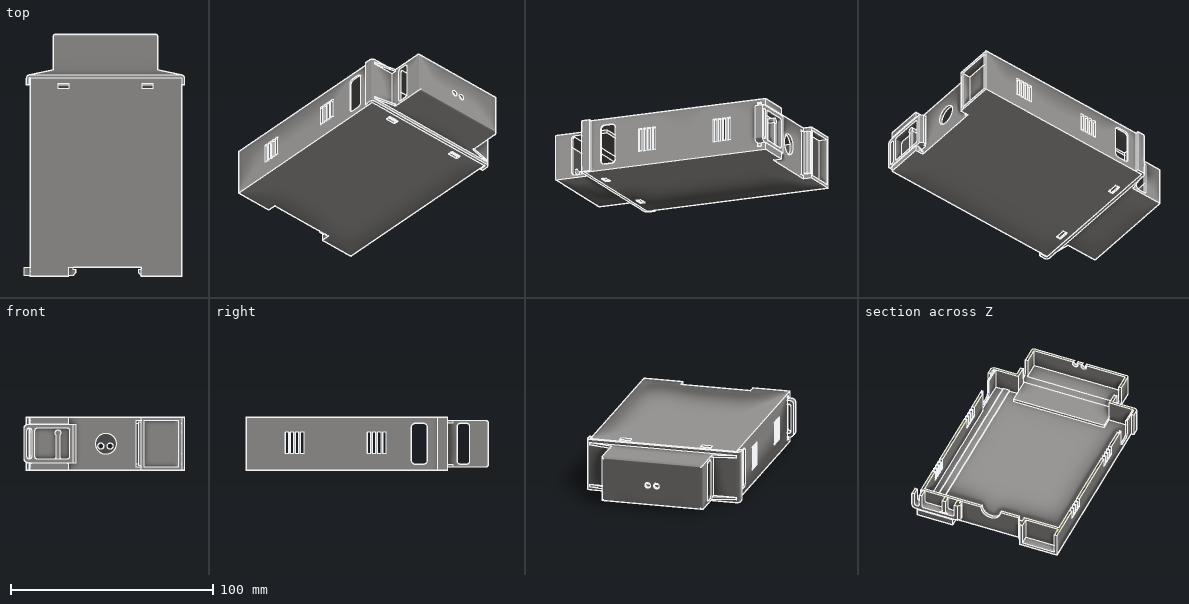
import cadquery as cq

WIDTH = 75.0
HEIGHT = 26.2
MID_Z = HEIGHT / 2
HALF_WIDTH = WIDTH / 2
WALL = 1.5
HOUSING_TOP_Y = 98.1
NOTCH_DEPTH = 4.4
LEFT_FOOT_X = -18.5
RIGHT_FOOT_X = 17.4
CABLE_HOLE_RADIUS = 5.2

WINDOW_Y = 85.7
WINDOW_WIDTH = 7.8
WINDOW_HEIGHT = 20.1
WINDOW_RADIUS = 1.9
THIN_WALL = 0.8
THIN_WALL_BOTTOM_Y = 80.3
VENT_GROUP_Y = (64.6, 24.0)
VENT_COUNT = 4
VENT_PITCH = 2.5
VENT_WIDTH = 1.5
VENT_HEIGHT = 11.5
FAR_VENT_SILL = 1.0

RAIL_X = -31.0
RAIL_WIDTH = 3.5
RAIL_HEIGHT = 0.6

HOOK_REACH = 1.3
HOOK_BOTTOM_Y = 0.5
HOOK_CHAMFER_Y = 1.9
HOOK_TOP_Y = 3.5
HOOK_HEIGHT = 21.6
HOOK_OPENING_WIDTH = 2.4
HOOK_OPENING_HEIGHT = 22.8

COVER_X = -0.2
PLATE_WIDTH = 78.3
PLATE_THICKNESS = 1.5
PLATE_TOP_Y = HOUSING_TOP_Y + PLATE_THICKNESS
PLATE_RADIUS = 1.8
LIP_THICKNESS = 1.4
LIP_BOTTOM_Y = 94.6
BLOCK_WIDTH = 51.8
BLOCK_HEIGHT = 23.0
BLOCK_TOP_Y = 119.8
BLOCK_FILLET = 1.2
GUSSET_TOP_Y = 102.2
GUSSET_END_INSET = 1.4
GUSSET_THICKNESS = 1.2
BLOCK_SLOT_Y = 107.5
BLOCK_SLOT_WIDTH = 6.0
BLOCK_SLOT_RADIUS = 1.4
LED_SPACING = 4.5
LED_RADIUS = 1.4
LED_Z = 12.0
TONGUE_BOTTOM_Y = 92.0

SNAP_SPACING = 41.6
SNAP_WIDTH = 5.4
SNAP_TOP_Y = 95.5
SNAP_CREST_Y = 94.8
SNAP_BOTTOM_Y = 93.0
SNAP_RECESS = 0.2

CLIP_LEFT_X = -40.6
CLIP_TIP_X = -14.9
CLIP_STEP_X = -16.2
CLIP_BOTTOM_Y = 0.4
CLIP_BOTTOM_Z = 3.7
CLIP_TOP_Z = 22.8
CLIP_MID_Z = (CLIP_BOTTOM_Z + CLIP_TOP_Z) / 2
CLIP_HEIGHT = CLIP_TOP_Z - CLIP_BOTTOM_Z
CLIP_RADIUS = 2.0
CLIP_CLEARANCE = 0.1
WING_BOTTOM_Y = 2.5
WING_CHANNEL_BOTTOM_Z = 2.0
WING_CHANNEL_TOP_Z = 24.5
WING_GAP = 0.4
WING_END_INSET = 0.6
CLIP_OPENING_BOTTOM_Z = 5.6
CLIP_OPENING_TOP_Z = 20.8
CLIP_OPENING_RADIUS = 1.2
GRIP_LEFT_X = -39.2
GRIP_RIGHT_X = -36.7
POCKET_LEFT_X = -35.2
POCKET_RIGHT_X = -18.0
SPRING_X = -23.7
SPRING_WIDTH = 1.9
SPRING_HEAD_RADIUS = 1.4
SPRING_TOP_Z = 19.9
SPRING_FRONT_Y = 1.1
SPRING_ROOT_RADIUS = 1.0


def box(x0, x1, y0, y1, z0, z1):
    """Box between the given coordinate limits."""
    return cq.Workplane("XY").box(x1 - x0, y1 - y0, z1 - z0, centered=False).translate((x0, y0, z0))


def centered_prism(points, height, mid_z=MID_Z):
    """Polygon in XY extruded along Z, evenly about mid_z."""
    return cq.Workplane("XY").polyline(points).close().extrude(height / 2, both=True).translate((0, 0, mid_z))


def snap_centers():
    """X positions of the two snap hooks."""
    return [COVER_X + side * SNAP_SPACING / 2 for side in (-1, 1)]


def both_large_walls(top_feature):
    """A feature at the +Z wall together with its mirror image at the -Z wall."""
    return top_feature + top_feature.mirror("XY", (0, 0, MID_Z))


def housing_shell():
    """Hollow box, open at +Y, with the mounting-rail notch between the two feet."""
    outer = box(-HALF_WIDTH, HALF_WIDTH, 0, HOUSING_TOP_Y, 0, HEIGHT)
    notch = box(LEFT_FOOT_X, RIGHT_FOOT_X, 0, NOTCH_DEPTH, 0, HEIGHT)
    cavity = box(
        WALL - HALF_WIDTH, HALF_WIDTH - WALL, NOTCH_DEPTH + WALL, HOUSING_TOP_Y, WALL, HEIGHT - WALL
    )
    foot_pocket = box(RIGHT_FOOT_X + WALL, HALF_WIDTH - WALL, 0, NOTCH_DEPTH, WALL, HEIGHT - WALL)
    return outer - notch - cavity - foot_pocket


def side_windows():
    """Rounded terminal window cut through both side walls."""
    window = box(
        -HALF_WIDTH, HALF_WIDTH, WINDOW_Y - WINDOW_WIDTH / 2, WINDOW_Y + WINDOW_WIDTH / 2,
        MID_Z - WINDOW_HEIGHT / 2, MID_Z + WINDOW_HEIGHT / 2,
    )
    return window.edges("|X").fillet(WINDOW_RADIUS)


def window_reliefs():
    """Inner recesses that thin both side walls from the windows to the open end."""
    inner = HALF_WIDTH - THIN_WALL
    return box(-inner, inner, THIN_WALL_BOTTOM_Y, HOUSING_TOP_Y, WALL, HEIGHT - WALL)


def side_vents():
    """Two groups of ventilation slots in each side wall."""
    vents = cq.Workplane("XY")
    bottom = MID_Z - VENT_HEIGHT / 2
    top = MID_Z + VENT_HEIGHT / 2
    for group_y in VENT_GROUP_Y:
        for i in range(VENT_COUNT):
            y0 = group_y + (i - (VENT_COUNT - 1) / 2) * VENT_PITCH - VENT_WIDTH / 2
            y1 = y0 + VENT_WIDTH
            vents += box(-HALF_WIDTH, WALL - HALF_WIDTH, y0, y1, bottom, top)
            vents += box(HALF_WIDTH - WALL, HALF_WIDTH, y0, y1, bottom + FAR_VENT_SILL, top)
    return vents


def snap_windows():
    """Rectangular openings for the snap hooks in both large walls."""
    openings = cq.Workplane("XY")
    for x in snap_centers():
        openings += box(
            x - SNAP_WIDTH / 2, x + SNAP_WIDTH / 2, SNAP_BOTTOM_Y, SNAP_TOP_Y, HEIGHT - WALL, HEIGHT
        )
    return both_large_walls(openings)


def clip_channel():
    """T-shaped channel through the left foot."""
    body = box(
        -HALF_WIDTH, LEFT_FOOT_X, 0, NOTCH_DEPTH,
        CLIP_BOTTOM_Z - CLIP_CLEARANCE, CLIP_TOP_Z + CLIP_CLEARANCE,
    )
    wings = box(
        -HALF_WIDTH, LEFT_FOOT_X, WING_BOTTOM_Y, NOTCH_DEPTH,
        WING_CHANNEL_BOTTOM_Z, WING_CHANNEL_TOP_Z,
    )
    return body + wings


def cable_hole():
    """Round hole through the notch wall."""
    hole = cq.Workplane("XZ").center(0, MID_Z).circle(CABLE_HOLE_RADIUS).extrude(-WALL)
    return hole.translate((0, NOTCH_DEPTH, 0))


def hook_opening():
    """Tall opening in the notch wall, beside the right foot."""
    return box(
        RIGHT_FOOT_X - HOOK_OPENING_WIDTH, RIGHT_FOOT_X, NOTCH_DEPTH, NOTCH_DEPTH + WALL,
        MID_Z - HOOK_OPENING_HEIGHT / 2, MID_Z + HOOK_OPENING_HEIGHT / 2,
    )


def rail_hook():
    """Chamfered lip on the inner side of the right foot."""
    tip_x = RIGHT_FOOT_X - HOOK_REACH
    profile = [
        (RIGHT_FOOT_X, HOOK_BOTTOM_Y),
        (RIGHT_FOOT_X, HOOK_TOP_Y),
        (tip_x, HOOK_TOP_Y),
        (tip_x, HOOK_CHAMFER_Y),
    ]
    return centered_prism(profile, HOOK_HEIGHT)


def floor_rail():
    """Low rail along the housing floor."""
    return box(
        RAIL_X - RAIL_WIDTH / 2, RAIL_X + RAIL_WIDTH / 2, NOTCH_DEPTH + WALL, HOUSING_TOP_Y,
        WALL, WALL + RAIL_HEIGHT,
    )


def make_housing():
    shell = housing_shell() - window_reliefs() + floor_rail()
    shell = shell - side_windows() - side_vents() - snap_windows()
    shell = shell - clip_channel() - cable_hole() - hook_opening()
    return shell + rail_hook()


def cover_plate():
    """End plate with rounded corners and lips that reach down over the housing sides."""
    left = COVER_X - PLATE_WIDTH / 2
    right = COVER_X + PLATE_WIDTH / 2
    plate = box(left, right, LIP_BOTTOM_Y, PLATE_TOP_Y, 0, HEIGHT)
    plate = plate.edges("|Z and >Y").fillet(PLATE_RADIUS)
    return plate - box(left + LIP_THICKNESS, right - LIP_THICKNESS, LIP_BOTTOM_Y, HOUSING_TOP_Y, 0, HEIGHT)


def cover_block():
    """Solid block on the plate, rounded around its end face."""
    block = box(
        COVER_X - BLOCK_WIDTH / 2, COVER_X + BLOCK_WIDTH / 2, HOUSING_TOP_Y, BLOCK_TOP_Y,
        MID_Z - BLOCK_HEIGHT / 2, MID_Z + BLOCK_HEIGHT / 2,
    )
    return block.faces(">Y").edges().fillet(BLOCK_FILLET)


def cover_gussets():
    """Thin sloping webs beside the block, level with its top and bottom faces."""
    outer = PLATE_WIDTH / 2 - GUSSET_END_INSET
    inner = BLOCK_WIDTH / 2
    profile = [
        (COVER_X - outer, PLATE_TOP_Y),
        (COVER_X - inner, GUSSET_TOP_Y),
        (COVER_X + inner, GUSSET_TOP_Y),
        (COVER_X + outer, PLATE_TOP_Y),
    ]
    gap_height = BLOCK_HEIGHT - 2 * GUSSET_THICKNESS
    return centered_prism(profile, BLOCK_HEIGHT) - centered_prism(profile, gap_height)


def block_cavity():
    """Hollow of the block, open through the plate."""
    half_width = BLOCK_WIDTH / 2 - WALL
    half_height = BLOCK_HEIGHT / 2 - WALL
    return box(
        COVER_X - half_width, COVER_X + half_width, HOUSING_TOP_Y, BLOCK_TOP_Y - WALL,
        MID_Z - half_height, MID_Z + half_height,
    )


def block_side_slot():
    """Rounded slot through both sides of the block."""
    slot = box(
        COVER_X - BLOCK_WIDTH / 2, COVER_X + BLOCK_WIDTH / 2,
        BLOCK_SLOT_Y - BLOCK_SLOT_WIDTH / 2, BLOCK_SLOT_Y + BLOCK_SLOT_WIDTH / 2,
        MID_Z - WINDOW_HEIGHT / 2, MID_Z + WINDOW_HEIGHT / 2,
    )
    return slot.edges("|X").fillet(BLOCK_SLOT_RADIUS)


def led_holes():
    """Two round holes through the end wall of the block."""
    holes = cq.Workplane("XZ").pushPoints([(COVER_X + side * LED_SPACING / 2, LED_Z) for side in (-1, 1)])
    return holes.circle(LED_RADIUS).extrude(-WALL).translate((0, BLOCK_TOP_Y - WALL, 0))


def snap_tongues():
    """Tongues that continue the block's large walls into the housing, with ramped snap hooks."""
    half_width = BLOCK_WIDTH / 2 - WALL
    block_top_z = MID_Z + BLOCK_HEIGHT / 2
    crest_z = HEIGHT - SNAP_RECESS
    tongue = box(
        COVER_X - half_width, COVER_X + half_width, TONGUE_BOTTOM_Y, HOUSING_TOP_Y,
        block_top_z - WALL, block_top_z,
    )
    ramp = [
        (SNAP_BOTTOM_Y, block_top_z),
        (SNAP_TOP_Y, block_top_z),
        (SNAP_TOP_Y, crest_z),
        (SNAP_CREST_Y, crest_z),
    ]
    for x in snap_centers():
        hook = cq.Workplane("YZ").polyline(ramp).close().extrude(SNAP_WIDTH / 2, both=True)
        tongue += hook.translate((x, 0, 0))
    return both_large_walls(tongue)


def make_cover():
    body = cover_plate() + cover_block() + cover_gussets()
    body = body - block_cavity() - block_side_slot() - led_holes()
    return body + snap_tongues()


def clip_plate():
    """Clip outline with a chamfered, stepped tip and rounded grip end."""
    profile = [
        (CLIP_LEFT_X, CLIP_BOTTOM_Y),
        (CLIP_STEP_X, CLIP_BOTTOM_Y),
        (CLIP_TIP_X, HOOK_CHAMFER_Y),
        (CLIP_TIP_X, HOOK_TOP_Y),
        (CLIP_STEP_X, HOOK_TOP_Y),
        (CLIP_STEP_X, NOTCH_DEPTH),
        (CLIP_LEFT_X, NOTCH_DEPTH),
    ]
    return centered_prism(profile, CLIP_HEIGHT, CLIP_MID_Z).edges("|Y and <X").fillet(CLIP_RADIUS)


def clip_wings():
    """Guide wings above and below the clip, held in the foot's channel."""
    return box(
        WING_END_INSET - HALF_WIDTH, LEFT_FOOT_X - WING_END_INSET, WING_BOTTOM_Y, NOTCH_DEPTH,
        WING_CHANNEL_BOTTOM_Z, WING_CHANNEL_TOP_Z - WING_GAP,
    )


def clip_opening(x0, x1):
    """Rounded opening through the clip between two X limits."""
    opening = box(x0, x1, 0, NOTCH_DEPTH, CLIP_OPENING_BOTTOM_Z, CLIP_OPENING_TOP_Z)
    return opening.edges("|Y").fillet(CLIP_OPENING_RADIUS)


def clip_spring():
    """Spring arm with a round head, standing on the lower edge of the pocket and flaring at its root."""
    half_width = SPRING_WIDTH / 2
    root_z = CLIP_OPENING_BOTTOM_Z
    head_z = SPRING_TOP_Z - SPRING_HEAD_RADIUS
    head = cq.Workplane("XZ").center(SPRING_X, head_z).circle(SPRING_HEAD_RADIUS)
    head = head.extrude(SPRING_FRONT_Y - NOTCH_DEPTH)
    arm = (
        cq.Workplane("XZ")
        .moveTo(SPRING_X - half_width - SPRING_ROOT_RADIUS, root_z)
        .radiusArc((SPRING_X - half_width, root_z + SPRING_ROOT_RADIUS), -SPRING_ROOT_RADIUS)
        .lineTo(SPRING_X - half_width, head_z)
        .lineTo(SPRING_X + half_width, head_z)
        .lineTo(SPRING_X + half_width, root_z + SPRING_ROOT_RADIUS)
        .radiusArc((SPRING_X + half_width + SPRING_ROOT_RADIUS, root_z), -SPRING_ROOT_RADIUS)
        .close()
        .extrude(SPRING_FRONT_Y - NOTCH_DEPTH)
    )
    return (arm + head).translate((0, SPRING_FRONT_Y, 0))


def make_clip():
    body = clip_plate() + clip_wings()
    body = body - clip_opening(GRIP_LEFT_X, GRIP_RIGHT_X) - clip_opening(POCKET_LEFT_X, POCKET_RIGHT_X)
    return body + clip_spring()


housing = make_housing()
cover = make_cover()
clip = make_clip()

result = cq.Compound.makeCompound([housing.solids().val(), cover.solids().val(), clip.solids().val()])